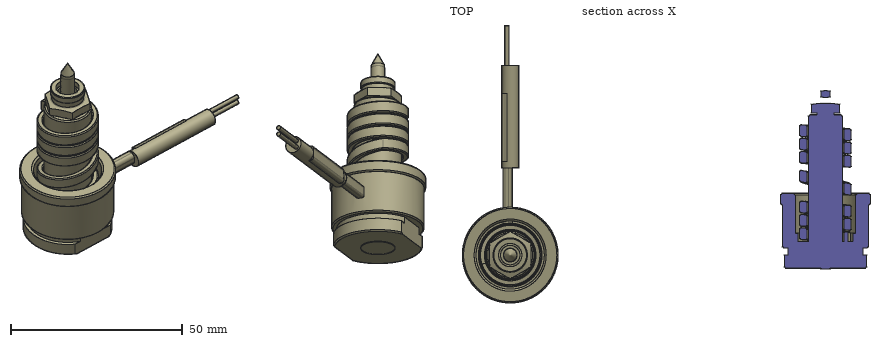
import cadquery as cq
import math

OVERALL_LENGTH = 81.0

BASE_FACE_Z = 0.25
BASE_TOP_Z = 4.2
BODY_BOTTOM_Z = 6.15
BORE_FLOOR_Z = 8.1
BORE_STEP_Z = 10.5
FLANGE_BOTTOM_Z = 18.7
FLANGE_TOP_Z = 22.2
SLEEVE_TOP_Z = 45.1
NUT_BOTTOM_Z = 45.6
NUT_CORNER_Z = 48.0
NUT_TOP_Z = 48.5
BUSH_RIM_Z = 50.05
BUSH_TOP_Z = 52.25
PIN_SHOULDER_Z = 56.7
PIN_CONE_Z = 57.6
TIP_Z = 61.2

FOOT_R = 5.0
BASE_R = 13.05
NECK_R = 12.1
BODY_R = 13.5
FLANGE_R = 14.0
BORE_R = 10.0
BORE_SEAT_R = 9.3
BORE_MOUTH_R = 10.5
SLEEVE_R = 7.0
NUT_NECK_R = 5.4
BUSH_R = 5.0
BUSH_GROOVE_R = 4.7
BUSH_BORE_R = 3.4
BUSH_PILOT_R = 2.8
PIN_R = 2.0
PIN_CONE_R = 1.95

BASE_FLATS_WIDTH = 22.2
NUT_FLATS_WIDTH = 12.1
EDGE_CHAMFER = 0.4
RIM_CHAMFER = 0.25
BUSH_BORE_DEPTH = 1.6
BUSH_PILOT_DEPTH = 3.2

SPRING_R = 9.0
SPRING_HEIGHT = 3.5
SPRING_CORNER = 0.3
SPRING_TOP_Z = 43.7
SPRING_END_ANGLE = 198
CLOSED_PITCH = 3.9
CLOSED_TURNS = 3.2
OPEN_PITCH = 12.3
OPEN_TURNS = 0.8
SEAT_TURNS = 2.7
SPRING_GAP = 0.25

CABLE_Z = 12.6
CABLE_START_Y = 9.2
TUBE_START_Y = 25.4
TUBE_END_Y = 55.4
TUBE_R = 2.5
PAD_START_Y = 27.3
PAD_END_Y = 47.2
PAD_HEIGHT = 4.6
PAD_CORNER = 1.0
CORD_WIDTH = 2.75
CORD_HEIGHT = 3.7
CORD_X = -0.7
CORD_CORNER = 0.6
CORD_ROUND = 1.2
WIRE_R = 0.65
WIRE_X = -1.0
WIRE_SPACING = 1.95
WIRE_END_Y = OVERALL_LENGTH - FLANGE_R


def disc(radius, bottom, top):
    """Cylinder on the main axis between two heights."""
    return cq.Workplane("XY").workplane(offset=bottom).circle(radius).extrude(top - bottom)


def base():
    """Foot and grooved base with two flats facing -X and +X."""
    ring = disc(BASE_R, BASE_FACE_Z, BASE_TOP_Z).faces("<Z").chamfer(EDGE_CHAMFER)
    neck = disc(NECK_R, BASE_TOP_Z, BODY_BOTTOM_Z)
    flats = cq.Workplane("XY").box(BASE_FLATS_WIDTH, 2 * BASE_R, 2 * BODY_BOTTOM_Z)
    return ring.union(neck).intersect(flats).union(disc(FOOT_R, 0, BASE_FACE_Z))


def body():
    """Cylindrical housing with a flange and a stepped blind bore open at the top."""
    housing = disc(BODY_R, BODY_BOTTOM_Z, FLANGE_BOTTOM_Z).faces("<Z").chamfer(EDGE_CHAMFER)
    flange = disc(FLANGE_R, FLANGE_BOTTOM_Z, FLANGE_TOP_Z).faces("<Z or >Z").chamfer(EDGE_CHAMFER)
    seat = disc(BORE_SEAT_R, BORE_FLOOR_Z, FLANGE_TOP_Z)
    bore = disc(BORE_R, BORE_STEP_Z, FLANGE_TOP_Z)
    mouth_depth = BORE_MOUTH_R - BORE_R
    mouth = (
        cq.Workplane("XY")
        .workplane(offset=FLANGE_TOP_Z)
        .circle(BORE_MOUTH_R)
        .extrude(-mouth_depth, taper=45)
    )
    return housing.union(flange).cut(seat).cut(bore).cut(mouth)


def stem():
    """Sleeve, nut with a sloped top, grooved bush with a stepped bore, and pointed pin."""
    sleeve = disc(SLEEVE_R, BORE_FLOOR_Z, SLEEVE_TOP_Z).faces(">Z").chamfer(EDGE_CHAMFER)
    neck = disc(NUT_NECK_R, SLEEVE_TOP_Z, NUT_BOTTOM_Z)
    nut = (
        cq.Workplane("XY")
        .workplane(offset=NUT_BOTTOM_Z)
        .polygon(6, NUT_FLATS_WIDTH, circumscribed=True)
        .extrude(NUT_TOP_Z - NUT_BOTTOM_Z)
    )
    nut_corner_r = NUT_FLATS_WIDTH / 2 / math.cos(math.pi / 6)
    nut_limit = (
        cq.Workplane("XZ")
        .moveTo(0, NUT_BOTTOM_Z)
        .lineTo(nut_corner_r, NUT_BOTTOM_Z)
        .lineTo(nut_corner_r, NUT_CORNER_Z)
        .lineTo(BUSH_R, NUT_TOP_Z)
        .lineTo(0, NUT_TOP_Z)
        .close()
        .revolve(360, (0, 0), (0, 1))
    )
    nut = nut.intersect(nut_limit)
    groove = disc(BUSH_GROOVE_R, NUT_TOP_Z, BUSH_RIM_Z)
    rim = disc(BUSH_R, BUSH_RIM_Z, BUSH_TOP_Z).faces("<Z or >Z").chamfer(RIM_CHAMFER)
    bore = disc(BUSH_BORE_R, BUSH_TOP_Z - BUSH_BORE_DEPTH, BUSH_TOP_Z)
    pilot = disc(BUSH_PILOT_R, BUSH_TOP_Z - BUSH_PILOT_DEPTH, BUSH_TOP_Z)
    pin = (
        cq.Workplane("XZ")
        .moveTo(0, NUT_BOTTOM_Z)
        .lineTo(PIN_R, NUT_BOTTOM_Z)
        .lineTo(PIN_R, PIN_SHOULDER_Z)
        .lineTo(PIN_CONE_R, PIN_CONE_Z)
        .lineTo(0, TIP_Z)
        .close()
        .revolve(360, (0, 0), (0, 1))
    )
    return sleeve.union(neck).union(nut).union(groove).union(rim).cut(bore).cut(pilot).union(pin)


def spring_section():
    """Flat wire section with bevelled corners, just outside the sleeve."""
    inner = SLEEVE_R + SPRING_GAP
    return (
        cq.Sketch()
        .push([((inner + SPRING_R) / 2, 0)])
        .rect(SPRING_R - inner, SPRING_HEIGHT)
        .reset()
        .vertices()
        .chamfer(SPRING_CORNER)
    )


def coil(pitch, turns, end_angle, top):
    """Flat-wire helix whose upper end has its top edge at the given height and angle."""
    rise = pitch * turns
    path = cq.Workplane(obj=cq.Wire.makeHelix(pitch, rise, SPRING_R))
    turn = cq.Workplane("XZ").placeSketch(spring_section()).sweep(path, isFrenet=True)
    start_angle = end_angle - 360 * turns
    start_z = top - SPRING_HEIGHT / 2 - rise
    return turn.rotate((0, 0, 0), (0, 0, 1), start_angle).translate((0, 0, start_z))


def spring():
    """Coils listed from the top down, each starting where the one above it ends."""
    stretches = [
        (CLOSED_PITCH, CLOSED_TURNS),
        (OPEN_PITCH, OPEN_TURNS),
        (CLOSED_PITCH, SEAT_TURNS),
    ]
    angle = SPRING_END_ANGLE
    top = SPRING_TOP_Z
    coils = []
    for pitch, turns in stretches:
        coils.append(coil(pitch, turns, angle, top))
        angle -= 360 * turns
        top -= pitch * turns
    return coils


def along_cable(start_y, x=0):
    """Workplane facing -Y whose local origin lies on a line parallel to the cable."""
    return cq.Workplane("XZ", origin=(x, start_y, CABLE_Z))


def cable():
    """Flat cord, tube with a raised pad on its -X side, and two bare wires."""
    cord = (
        along_cable(CABLE_START_Y, CORD_X)
        .rect(CORD_WIDTH, CORD_HEIGHT)
        .extrude(CABLE_START_Y - TUBE_START_Y)
        .edges("|Y and <X")
        .fillet(CORD_CORNER)
        .edges("|Y and >X")
        .fillet(CORD_ROUND)
    )
    tube = along_cable(TUBE_START_Y).circle(TUBE_R).extrude(TUBE_START_Y - TUBE_END_Y)
    pad = (
        along_cable(PAD_START_Y, -TUBE_R / 2)
        .rect(TUBE_R, PAD_HEIGHT)
        .extrude(PAD_START_Y - PAD_END_Y)
        .edges("|Y and <X")
        .fillet(PAD_CORNER)
    )
    wires = (
        along_cable(TUBE_END_Y, WIRE_X)
        .rarray(0.8, WIRE_SPACING, 1, 2)
        .circle(WIRE_R)
        .extrude(TUBE_END_Y - WIRE_END_Y)
    )
    return cord.union(tube).union(pad).union(wires)


result = base().union(body()).union(stem())
for spring_coil in spring():
    result = result.union(spring_coil)
result = result.union(cable())